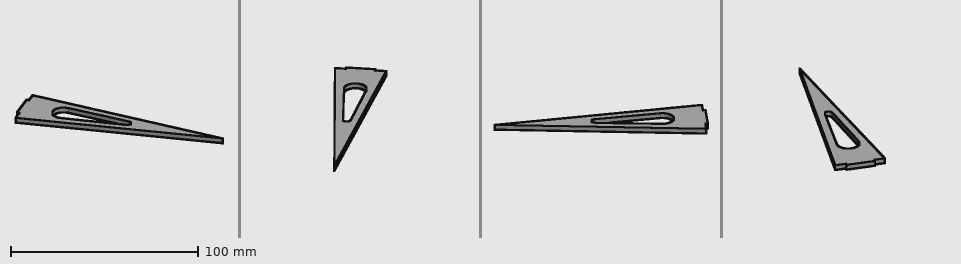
import cadquery as cq
import math

thickness = 3.0
overall_length = 114.0
base_width = 27.7
tilt_angle = 5.0

tab_width = 15.8
tab_depth = 1.4

tilt = math.radians(tilt_angle)
tab_end_distance = (overall_length - tab_width / 2 * math.sin(tilt)) / math.cos(tilt)
wedge_length = tab_end_distance - tab_depth

large_end_radius = 6.0
large_end_distance = 90.0
small_end_radius = 2.0
small_end_distance = 54.0


def wedge_plate():
    return (
        cq.Workplane("XY")
        .polyline([
            (0, 0),
            (-wedge_length, base_width / 2),
            (-wedge_length, tab_width / 2),
            (-tab_end_distance, tab_width / 2),
            (-tab_end_distance, -tab_width / 2),
            (-wedge_length, -tab_width / 2),
            (-wedge_length, -base_width / 2),
        ])
        .close()
        .extrude(thickness)
    )


def tapered_window():
    end_spacing = large_end_distance - small_end_distance
    taper = math.asin((large_end_radius - small_end_radius) / end_spacing)

    def tangent_point(distance, radius):
        return -distance + radius * math.sin(taper), radius * math.cos(taper)

    large_x, large_y = tangent_point(large_end_distance, large_end_radius)
    small_x, small_y = tangent_point(small_end_distance, small_end_radius)
    return (
        cq.Workplane("XY")
        .moveTo(large_x, large_y)
        .lineTo(small_x, small_y)
        .threePointArc((-small_end_distance + small_end_radius, 0), (small_x, -small_y))
        .lineTo(large_x, -large_y)
        .threePointArc((-large_end_distance - large_end_radius, 0), (large_x, large_y))
        .close()
        .extrude(thickness)
    )


result = wedge_plate().cut(tapered_window()).rotate((0, 0, 0), (0, 0, 1), tilt_angle)